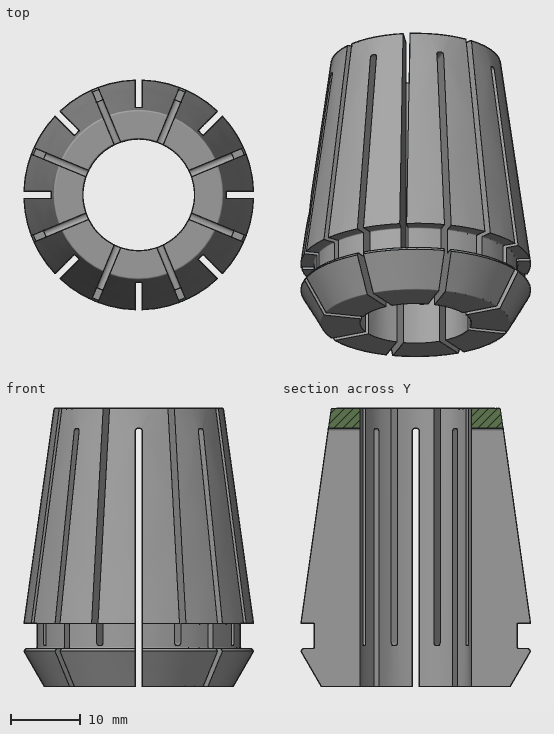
import cadquery as cq
import math

length = 40.0
outer_radius = 16.5
bore_radius = 8.0

taper_base_z = 9.1
taper_angle = 8.0

groove_radius = 14.6
groove_floor_z = 5.5
rim_edge_z = 5.1
rim_bevel = 0.3
nose_angle = 30.0

top_edge_radius = 0.25
bore_edge_radius = 0.2
groove_corner_radius = 0.15
nose_edge_radius = 0.2

slots_per_end = 8
slot_width = 1.0
slot_corner_radius = 0.45
upper_slot_end_z = 5.9
lower_slot_end_z = 37.1

edge_tolerance = 0.001
slot_pitch = 360.0 / slots_per_end


def edges_at(body, radius, z):
    """Circular edges of the given radius and height, centred on the Z axis."""
    return body.edges("%CIRCLE").filter(
        lambda edge: math.isclose(edge.radius(), radius, abs_tol=edge_tolerance)
        and math.isclose(edge.Center().z, z, abs_tol=edge_tolerance)
    )


def collet_body():
    """Revolve the half section of the collet about the Z axis and break its edges."""
    taper_slope = math.tan(math.radians(taper_angle))
    top_radius = outer_radius - (length - taper_base_z) * taper_slope
    nose_radius = outer_radius - rim_edge_z * math.tan(math.radians(nose_angle))
    section = (
        cq.Workplane("XZ")
        .moveTo(bore_radius, 0)
        .lineTo(nose_radius, 0)
        .lineTo(outer_radius, rim_edge_z)
        .lineTo(outer_radius - rim_bevel, groove_floor_z)
        .lineTo(groove_radius, groove_floor_z)
        .lineTo(groove_radius, taper_base_z)
        .lineTo(outer_radius, taper_base_z)
        .lineTo(top_radius, length)
        .lineTo(bore_radius, length)
        .close()
    )
    body = section.revolve(360, (0, 0, 0), (0, 1, 0))
    body = edges_at(body, bore_radius, length).fillet(bore_edge_radius)
    body = edges_at(body, top_radius, length).fillet(top_edge_radius)
    body = edges_at(body, nose_radius, 0).fillet(nose_edge_radius)
    for corner_z in (groove_floor_z, taper_base_z):
        body = edges_at(body, groove_radius, corner_z).fillet(groove_corner_radius)
    return body


def radial_slot(closed_end_z, open_end_z, angle):
    """Radial saw slot reaching out from the axis, with rounded corners at its closed end."""
    slot_height = abs(open_end_z - closed_end_z)
    middle_z = (open_end_z + closed_end_z) / 2
    reach = outer_radius + slot_width
    closed_side = "<Z" if open_end_z > closed_end_z else ">Z"
    return (
        cq.Workplane("XY")
        .box(reach, slot_width, slot_height, centered=(False, True, True))
        .translate((0, 0, middle_z))
        .faces(closed_side)
        .edges("|X")
        .fillet(slot_corner_radius)
        .rotate((0, 0, 0), (0, 0, 1), angle)
    )


result = collet_body()
for index in range(slots_per_end):
    lower_angle = index * slot_pitch
    upper_angle = lower_angle + slot_pitch / 2
    result = result.cut(radial_slot(lower_slot_end_z, 0, lower_angle))
    result = result.cut(radial_slot(upper_slot_end_z, length, upper_angle))